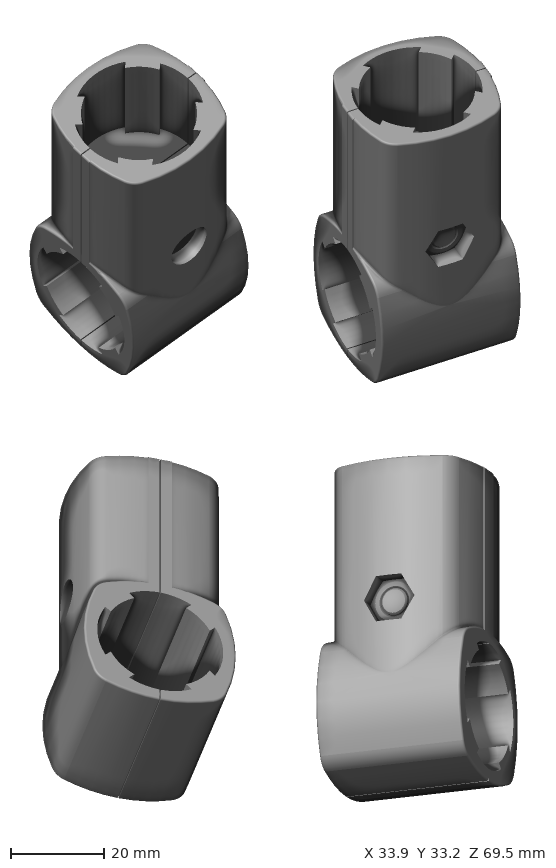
import cadquery as cq
import math

height = 69.5
tube_length = 33.2
split_gap = 0.3
end_radius = 0.5

side_radius = 32.0
corner_radius = 4.9
cross_width = 33.85
cross_height = 33.35
post_width = 33.1
post_depth = 33.1
junction_radius = 0.5
touch_tolerance = 0.0001
strip_width = 5.2

bore_radius = 14.05
rib_inner_radius = 12.45
rib_width = 7.45
rib_count = 4

screw_z = 38.3
shank_diameter = 6.05
tip_diameter = 5.2
head_diameter = 10.1
head_height = 6.0
nut_across_flats = 10.1
nut_face_diameter = 8.8
nut_mouth_diameter = 6.9
nut_height = 5.0
nut_chamfer_angle = 30.0
recess_depth = 3.5

tip_overhang = 0.35

cross_z = cross_height / 2
cross_bore_top = cross_z + bore_radius
post_bore_floor = 2 * screw_z - cross_bore_top
fastener_face = post_width / 2 - recess_depth
nut_corner_diameter = nut_across_flats / math.cos(math.pi / 6)


def bulged_square(width, depth, length):
    """Bar along Z from Z = 0: a square with bulged sides and round corners."""
    x_side_centre = width / 2 - side_radius
    y_side_centre = depth / 2 - side_radius
    centre_distance = side_radius - corner_radius
    half_gap = math.hypot(x_side_centre, y_side_centre) / 2
    rise = math.sqrt(centre_distance**2 - half_gap**2) / (2 * half_gap)
    corner_x = x_side_centre / 2 - y_side_centre * rise
    corner_y = y_side_centre / 2 - x_side_centre * rise

    stretch = side_radius / centre_distance
    x_side_end = (x_side_centre + (corner_x - x_side_centre) * stretch, corner_y * stretch)
    y_side_end = (corner_x * stretch, y_side_centre + (corner_y - y_side_centre) * stretch)
    angle_sum = math.atan2(x_side_end[1] - corner_y, x_side_end[0] - corner_x)
    angle_sum += math.atan2(y_side_end[1] - corner_y, y_side_end[0] - corner_x)
    corner_middle = (
        corner_x + corner_radius * math.cos(angle_sum / 2),
        corner_y + corner_radius * math.sin(angle_sum / 2),
    )

    def flip(point, sign_x, sign_y):
        return (sign_x * point[0], sign_y * point[1])

    outline = cq.Workplane("XY").moveTo(*flip(x_side_end, 1, -1))
    outline = outline.threePointArc((width / 2, 0), x_side_end)
    outline = outline.threePointArc(corner_middle, y_side_end)
    outline = outline.threePointArc((0, depth / 2), flip(y_side_end, -1, 1))
    outline = outline.threePointArc(flip(corner_middle, -1, 1), flip(x_side_end, -1, 1))
    outline = outline.threePointArc((-width / 2, 0), flip(x_side_end, -1, -1))
    outline = outline.threePointArc(flip(corner_middle, -1, -1), flip(y_side_end, -1, -1))
    outline = outline.threePointArc((0, -depth / 2), flip(y_side_end, 1, -1))
    outline = outline.threePointArc(flip(corner_middle, 1, -1), flip(x_side_end, 1, -1))
    return outline.close().extrude(length)


def splined_bore(length):
    """Cutter along Z from Z = 0: a round bore with ribs left standing on its diagonals."""
    bore = cq.Workplane("XY").circle(bore_radius).extrude(length)
    core = cq.Workplane("XY").circle(rib_inner_radius).extrude(length)
    rib = cq.Workplane("XY").center(bore_radius, 0).rect(bore_radius, rib_width).extrude(length)
    for index in range(rib_count):
        angle = (index + 0.5) * 360 / rib_count
        bore = bore.cut(rib.rotate((0, 0, 0), (0, 0, 1), angle))
    return bore.union(core)


def lay_along_y(body):
    """Turn a body that starts at Z = 0 onto the axis of the cross tube, centred on Y = 0."""
    turned = body.rotate((0, 0, 0), (1, 0, 0), 90)
    return turned.translate((0, tube_length / 2, cross_z))


def screw_cylinder(diameter, start_x, end_x):
    """Cylinder on the screw axis between two X positions."""
    plane = cq.Plane((start_x, 0, screw_z), xDir=(0, 1, 0), normal=(1, 0, 0))
    return cq.Workplane(plane).circle(diameter / 2).extrude(end_x - start_x)


def nut_prism(start_x, end_x):
    """Hexagonal bar on the screw axis, with corners pointing along Y."""
    plane = cq.Plane((start_x, 0, screw_z), xDir=(0, 1, 0), normal=(1, 0, 0))
    return cq.Workplane(plane).polygon(6, nut_corner_diameter).extrude(end_x - start_x)


def screw_cone(start_x, start_diameter, end_x, end_diameter):
    """Solid cone frustum on the screw axis between two X positions."""
    profile = [(start_x, 0), (start_x, start_diameter / 2), (end_x, end_diameter / 2), (end_x, 0)]
    cone = cq.Workplane("XY").polyline(profile).close().revolve(360, (0, 0, 0), (1, 0, 0))
    return cone.translate((0, 0, screw_z))


def standing_box(width):
    """Block of the given X width from the cross tube axis to the top of the post."""
    block = cq.Workplane("XY").box(width, tube_length, height - cross_z, centered=(True, True, False))
    return block.translate((0, 0, cross_z))


def join_rounded(first, second):
    """Union of two bodies with the seam between their surfaces rounded."""
    surfaces = [first.val().Shells()[0], second.val().Shells()[0]]

    def is_seam(edge):
        middle = cq.Vertex.makeVertex(*edge.positionAt(0.5).toTuple())
        return all(surface.distance(middle) < touch_tolerance for surface in surfaces)

    joined = first.union(second)
    return joined.edges().filter(is_seam).fillet(junction_radius)


def make_outer_body():
    """Cross tube, post and strips without their bores."""
    cross = bulged_square(cross_width, cross_height, tube_length)
    cross = lay_along_y(cross.faces("<Z or >Z").edges().fillet(end_radius))

    post = bulged_square(post_width, post_depth, height)
    post = post.faces(">Z").edges().fillet(end_radius)
    post = post.intersect(standing_box(cross_width))

    strip = standing_box(strip_width).faces(">Z").edges("|X").fillet(end_radius)
    return join_rounded(cross, post).union(strip)


def make_housing():
    """Both halves in one piece, with the bores and the screw recesses."""
    housing = make_outer_body()
    housing = housing.cut(lay_along_y(splined_bore(tube_length)))
    post_bore = splined_bore(height - post_bore_floor)
    housing = housing.cut(post_bore.translate((0, 0, post_bore_floor)))

    outside = cross_width / 2
    nut_floor = -fastener_face + nut_height
    head_floor = fastener_face - head_height
    housing = housing.cut(nut_prism(-outside, nut_floor))
    housing = housing.cut(screw_cylinder(shank_diameter, nut_floor, head_floor))
    return housing.cut(screw_cylinder(head_diameter, head_floor, outside))


def make_housing_half(housing, side):
    """Half of the housing on one side of the split: side is -1 or +1."""
    keep = cq.Workplane("XY").box(cross_width, tube_length, height, centered=(True, True, False))
    keep = keep.translate((side * (split_gap + cross_width) / 2, 0, 0))
    return housing.intersect(keep)


def make_screw():
    """Cap screw with its head in the +X half and its chamfered tip just proud of the nut."""
    tip_x = -fastener_face - tip_overhang
    chamfer = (shank_diameter - tip_diameter) / 2
    head_floor = fastener_face - head_height
    tip = screw_cone(tip_x, tip_diameter, tip_x + chamfer, shank_diameter)
    shank = screw_cylinder(shank_diameter, tip_x + chamfer, head_floor)
    head = screw_cylinder(head_diameter, head_floor, fastener_face)
    return head.union(shank).union(tip)


def make_nut():
    """Hexagon nut in the -X half, chamfered and countersunk on its outer face."""
    face_x = -fastener_face
    back_x = face_x + nut_height
    nut = nut_prism(face_x, back_x)

    chamfer_width = (nut_corner_diameter - nut_face_diameter) / 2
    chamfer_height = chamfer_width * math.tan(math.radians(nut_chamfer_angle))
    shoulder_x = face_x + chamfer_height
    envelope = screw_cone(face_x, nut_face_diameter, shoulder_x, nut_corner_diameter)
    envelope = envelope.union(screw_cylinder(nut_corner_diameter, shoulder_x, back_x))
    nut = nut.intersect(envelope)

    countersink_depth = (nut_mouth_diameter - shank_diameter) / 2
    nut = nut.cut(screw_cone(face_x, nut_mouth_diameter, face_x + countersink_depth, shank_diameter))
    return nut.cut(screw_cylinder(shank_diameter, face_x, back_x))


housing = make_housing()
housing_halves = [make_housing_half(housing, side) for side in (-1, 1)]
screw = make_screw()
nut = make_nut()

result = cq.Compound.makeCompound([*[half.val() for half in housing_halves], screw.val(), nut.val()])